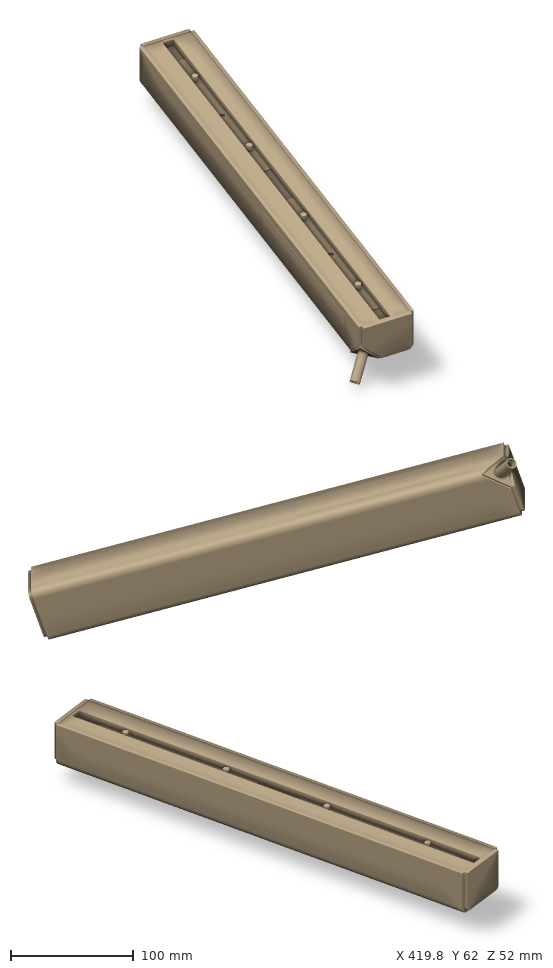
import cadquery as cq
import math

housing_length = 410.0
housing_width = 50.0
housing_height = 40.0
wall = 3.0
end_plate = 3.5
inner_bend_radius = 3.5
outer_bend_radius = inner_bend_radius + wall
cover_drop = 1.0

slot_length = 399
slot_width = 10.0
slot_depth = 7.0
rail_length = 158.0
rail_height = 1.3
pin_diameter = 5.0
pin_pitch = 50.0
pin_height = 6.0
rail_hole_diameter = 5.0
rail_hole_depth = 2.5

label_length = 150.5
label_height = 22.5
label_thickness = 0.2
label_center_x = 100.0
label_center_z = 21.5

notch_leg = 20.5
plate_notch_leg = 23.0
outlet_leg = 18.0
outlet_inset = 0.65
outlet_overhang = 0.6
outlet_base_depth = 6.5
outlet_clearance = 25
cable_diameter = 9.0
cable_bore = 7.0
cable_reach = 9.0
cable_root_depth = 4

channel_length = housing_length - 2 * end_plate
channel_end = channel_length / 2
front_y = -housing_width / 2
cover_z = housing_height - cover_drop


def u_block(length, width, bottom, corner_radius):
    """Bar along X, rounded along its two lower edges, with its top at the housing height."""
    height = housing_height - bottom
    bar = cq.Workplane("XY").box(length, width, height, centered=(True, True, False))
    return bar.edges("|X and <Z").fillet(corner_radius).translate((0, 0, bottom))


def box_on(length, width, height, x, z):
    """Box centred on the slot line at x, standing on height z."""
    box = cq.Workplane("XY").box(length, width, height, centered=(True, True, False))
    return box.translate((x, 0, z))


def upright(diameter, height, x, z):
    """Vertical cylinder on the slot line at x, standing on height z."""
    return cq.Workplane("XY").circle(diameter / 2).extrude(height).translate((x, 0, z))


def make_housing():
    """Channel around a core whose ends form the end plates, with the cover set below the rim."""
    inner_width = housing_width - 2 * wall
    channel = u_block(channel_length, housing_width, 0, outer_bend_radius)
    core = u_block(housing_length, inner_width, wall, inner_bend_radius)
    recess = box_on(channel_length, inner_width, cover_drop, 0, cover_z)
    return channel.union(core).cut(recess)


def add_slot(body):
    """Slot with two rails; each rail has a blind hole in its middle and a pin on either side."""
    floor_z = cover_z - slot_depth
    rail_top = floor_z + rail_height
    body = body.cut(box_on(slot_length, slot_width, slot_depth, 0, floor_z))
    for rail_x in (-2 * pin_pitch, 2 * pin_pitch):
        body = body.union(box_on(rail_length, slot_width, rail_height, rail_x, floor_z))
        hole = upright(rail_hole_diameter, rail_hole_depth, rail_x, rail_top - rail_hole_depth)
        body = body.cut(hole)
        for pin_x in (rail_x - pin_pitch, rail_x + pin_pitch):
            body = body.union(upright(pin_diameter, rail_height + pin_height, pin_x, floor_z))
    return body


def add_label(body):
    """Thin raised plate, half sunk into the front wall."""
    label = cq.Workplane("XY").box(label_length, 2 * label_thickness, label_height)
    return body.union(label.translate((label_center_x, front_y, label_center_z)))


def corner_wedge(plane, origin, legs, depth):
    """Right-angled triangle with its corner at origin, extruded along the plane normal."""
    triangle = cq.Workplane(plane, origin=origin).polyline([(0, 0), (legs[0], 0), (0, legs[1])])
    return triangle.close().extrude(depth)


def cut_notches(body):
    """Trim the outlet corner at 45 degrees off the front wall, the bottom wall and the end plate."""
    corner = (channel_end, front_y, 0)
    front_notch = corner_wedge("XZ", corner, (-notch_leg, notch_leg), -wall)
    bottom_notch = corner_wedge("XY", corner, (-notch_leg, notch_leg), wall)
    plate_notch = corner_wedge("YZ", corner, (plate_notch_leg, plate_notch_leg), end_plate)
    return body.cut(front_notch).cut(bottom_notch).cut(plate_notch)


def add_cable_outlet(body):
    """Three-sided socket and a cable stub bored down to its face, both along the corner diagonal."""
    tip_corner = cq.Vector(channel_end + outlet_overhang, front_y + outlet_inset, outlet_inset)
    diagonal = cq.Vector(1, -1, -1)
    face_center = tip_corner - diagonal * (outlet_leg / 3)
    cable_end = tip_corner + diagonal * cable_reach

    face = cq.Plane(origin=face_center, xDir=(-2, -1, -1), normal=diagonal)
    face_diameter = 2 * outlet_leg * math.sqrt(2 / 3)
    clearance = cq.Workplane(face).polygon(3, face_diameter).extrude(outlet_clearance)
    socket = cq.Workplane(face).polygon(3, face_diameter).extrude(-outlet_base_depth)
    body = body.cut(clearance).union(socket)

    end = cq.Plane(origin=cable_end, xDir=(-2, -1, -1), normal=diagonal)
    free_length = (cable_end - face_center).Length
    cable = cq.Workplane(end).circle(cable_diameter / 2).extrude(-(free_length + cable_root_depth))
    bore = cq.Workplane(end).circle(cable_bore / 2).extrude(-free_length)
    return body.union(cable).cut(bore)


result = add_cable_outlet(cut_notches(add_label(add_slot(make_housing()))))